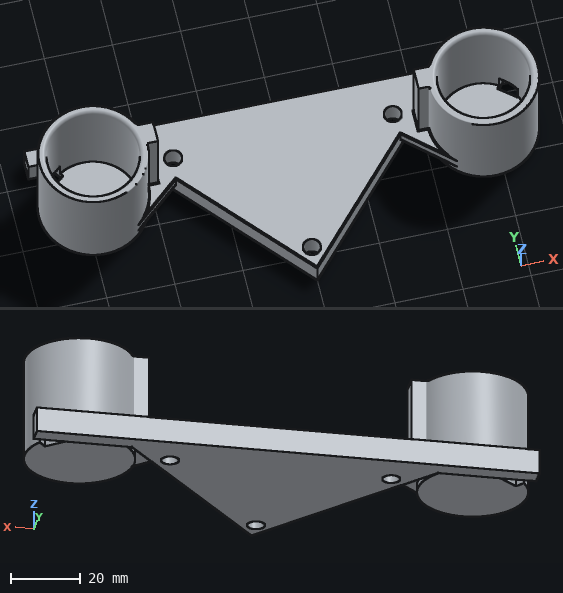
import cadquery as cq
import math

length = 146.5
depth = 55.8
height = 32.4
mid_x = length / 2

plate_top = 7.5
bar_width = 5.3
notch_x, notch_y = 40.3, -18.5
edge_break = 0.3

cup_radius = 16.0
cup_x, cup_y = cup_radius, -18.6
cup_bottom = 1.3
floor_top = 3.5
bore_radius = 13.3
lip_radius = 1.2

rib_end_x = 35.0
rib_width = 6.5

strut_bottom = 3.5

slot_width = 6.3
slot_inner = 12.2
slot_offset = 1.6
slot_angle = 129
slot_outer = cup_radius + 3

hole_radius = 2.56
side_hole_x, side_hole_y = 41.0, -11.7
tip_hole_y = -48.8
hole_centers = [(side_hole_x, side_hole_y), (length - side_hole_x, side_hole_y), (mid_x, tip_hole_y)]


def level(z):
    """Horizontal workplane at height z."""
    return cq.Workplane("XY").workplane(offset=z)


def block(x0, x1, y0, y1, z0, z1):
    return level(z0).moveTo(x0, y0).lineTo(x1, y0).lineTo(x1, y1).lineTo(x0, y1).close().extrude(z1 - z0)


def with_mirror(left):
    """The left-hand shape together with its mirror image on the right."""
    return left.union(left.mirror("YZ", (mid_x, 0, 0)))


def bar():
    return block(0, length, -bar_width, 0, 0, plate_top)


def tongue():
    side_slope = (depth + notch_y) / (mid_x - notch_x)
    root_x = notch_x + notch_y / side_slope
    corners = [(root_x, 0), (mid_x, -depth), (length - root_x, 0)]
    return level(0).polyline(corners).close().extrude(plate_top)


def strut():
    """Thin web whose front edge is tangent to the cup and ends at the notch."""
    notch_distance = math.hypot(notch_x - cup_x, notch_y - cup_y)
    notch_bearing = math.atan2(notch_y - cup_y, notch_x - cup_x)
    bearing = notch_bearing - math.acos(cup_radius / notch_distance)
    tangent_x = cup_x + cup_radius * math.cos(bearing)
    tangent_y = cup_y + cup_radius * math.sin(bearing)
    corners = [
        (tangent_x, tangent_y),
        (notch_x, notch_y),
        (notch_x, -bar_width),
        (cup_x, -bar_width),
        (cup_x, tangent_y),
    ]
    body = level(strut_bottom).polyline(corners).close().extrude(plate_top - strut_bottom)
    return body.faces("<Z").edges("not(|X or |Y)").chamfer(edge_break)


def plate():
    body = bar().union(tongue()).union(with_mirror(strut()))
    return body.faces(">Z").edges("not(|X or |Y)").chamfer(edge_break)


def rib(shell):
    """Rib on the cup wall, with small fillets where its sides meet the round wall."""
    rib_top_y = cup_y + rib_width
    body = shell.union(block(cup_x, rib_end_x, cup_y, rib_top_y, cup_bottom, height))
    root_zone = cq.selectors.BoxSelector(
        (cup_x + bore_radius, cup_y - edge_break, cup_bottom),
        (rib_end_x - edge_break, rib_top_y + edge_break, height),
    )
    body = body.edges("|Z").edges(root_zone).fillet(edge_break)
    side_margin = 2 * edge_break
    return body.intersect(
        block(cup_x, rib_end_x, cup_y - side_margin, rib_top_y + side_margin, plate_top, height)
    )


def cup():
    shell = level(cup_bottom).center(cup_x, cup_y).circle(cup_radius).extrude(height - cup_bottom)
    return shell.faces(">Z").edges().fillet(edge_break).union(rib(shell))


def foot(base):
    """Bevelled skirt where the cup and its rib stand on the plate."""
    skirt = (
        level(plate_top)
        .center(cup_x, cup_y)
        .circle(cup_radius + edge_break)
        .extrude(edge_break, taper=45)
    )
    rib_length = rib_end_x - cup_x
    rib_skirt = (
        level(plate_top)
        .center(cup_x + rib_length / 2, cup_y + rib_width / 2)
        .rect(rib_length + 2 * edge_break, rib_width + 2 * edge_break)
        .extrude(edge_break, taper=45)
    )
    above_plate = base.faces(">Z").wires().toPending().extrude(edge_break, combine=False)
    return skirt.union(rib_skirt).intersect(above_plate)


def bore():
    profile = (
        cq.Workplane("XZ")
        .moveTo(0, floor_top)
        .lineTo(bore_radius, floor_top)
        .lineTo(bore_radius, height - lip_radius)
        .radiusArc((bore_radius + lip_radius, height), lip_radius)
        .lineTo(0, height)
        .close()
    )
    return profile.revolve(360, (0, 0, 0), (0, 1, 0)).translate((cup_x, cup_y, 0))


def slot():
    side = slot_width / 2
    cutter = block(slot_inner, slot_outer, slot_offset - side, slot_offset + side, 0, plate_top)
    cutter = cutter.rotate((0, 0, 0), (0, 0, 1), slot_angle).translate((cup_x, cup_y, 0))
    return cutter.cut(bar())


base = plate()
result = base.union(with_mirror(cup())).union(with_mirror(foot(base)))
result = result.cut(with_mirror(bore())).cut(with_mirror(slot()))
result = result.cut(level(0).pushPoints(hole_centers).circle(hole_radius).extrude(plate_top))